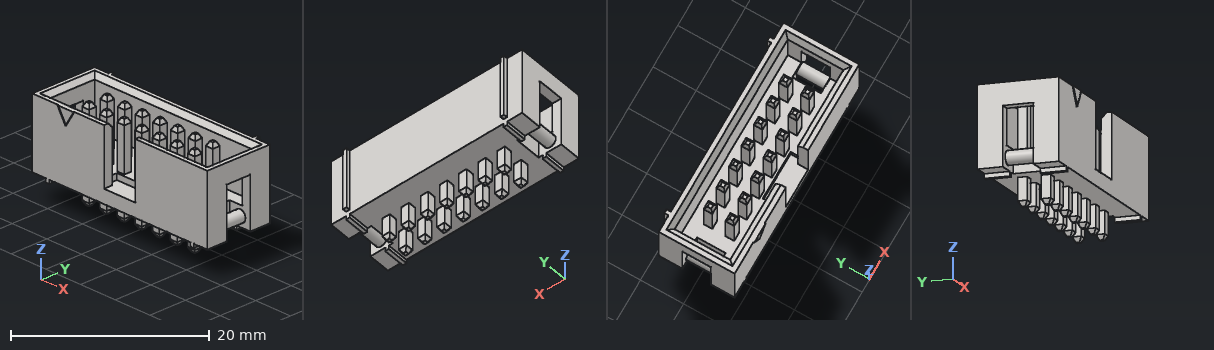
import cadquery as cq


length = 25.28
width = 8.82
height = 8.82
wall = 1.2
floor_depth = 6.32
lead_in = 0.6

notch_width = 4.5
notch_depth = 7.1
recess_width = 5.59
recess_reach = 2.35

slot_width = 3.3
slot_length = 2.98
slot_top_depth = 2.45
bar_radius = 0.75
bar_inset = 1.47
bar_depth = 7.55

rib_size = 0.48
rib_inset = 2.22
back_rib_depth = 8.22
marker_width = 2.33
marker_height = 1.92
marker_relief = 0.1
marker_x = -7.7

columns = 7
rows = 2
column_span = 15.25
pitch = column_span / (columns - 1)
pin_size = 1.0
pin_tip_size = 0.43
pin_tip_length = 0.53
pin_top_depth = 0.3
pin_below = 2.98

front_y = -width / 2
back_y = width / 2
floor_z = height - floor_depth


def block(x_size, y_min, y_max, z_min, z_max, x_center=0):
    """Box centred on x_center, spanning the given Y and Z ranges."""
    box = cq.Workplane("XY").box(x_size, y_max - y_min, z_max - z_min, centered=(True, False, False))
    return box.translate((x_center, y_min, z_min))


def frustum(base_size, end_size, base_z, rise):
    """Rectangular taper starting at base_z, going up or down by rise."""
    base = cq.Workplane("XY").workplane(offset=base_z).rect(*base_size)
    return base.workplane(offset=rise).rect(*end_size).loft()


def make_housing():
    cavity_length = length - 2 * wall
    cavity_width = width - 2 * wall
    body = block(length, front_y, back_y, 0, height)
    body = body.cut(block(cavity_length, -cavity_width / 2, cavity_width / 2, floor_z, height))
    rim_opening = (cavity_length + 2 * lead_in, cavity_width + 2 * lead_in)
    return body.cut(frustum(rim_opening, (cavity_length, cavity_width), height, -lead_in))


def cut_key_notch(body):
    notch_z = height - notch_depth
    notch = block(notch_width, front_y, front_y + wall, notch_z, height)
    recess = block(recess_width, front_y + wall, front_y + recess_reach, notch_z, floor_z)
    return body.cut(notch).cut(recess)


def add_bottom_and_back_ribs(body):
    for side in (-1, 1):
        rib_x = side * (length / 2 - rib_inset)
        body = body.union(block(rib_size, front_y, back_y, -rib_size, 0, rib_x))
        body = body.union(block(rib_size, back_y, back_y + rib_size, height - back_rib_depth, height, rib_x))
    return body


def cut_end_slots(body):
    for side in (-1, 1):
        slot_x = side * (length - slot_length) / 2
        slot_z = height - slot_top_depth
        body = body.cut(block(slot_length, -slot_width / 2, slot_width / 2, -rib_size, slot_z, slot_x))
    return body


def add_slot_bars(body):
    for side in (-1, 1):
        bar = cq.Workplane("XZ").circle(bar_radius).extrude(slot_width / 2, both=True)
        body = body.union(bar.translate((side * (length / 2 - bar_inset), 0, height - bar_depth)))
    return body


def add_pin_one_marker(body):
    half = marker_width / 2
    corners = [
        (marker_x - half, height),
        (marker_x + half, height),
        (marker_x, height - marker_height),
    ]
    marker = cq.Workplane("XZ", origin=(0, front_y, 0)).polyline(corners).close().extrude(marker_relief)
    return body.union(marker)


def make_pin():
    top_shoulder = height - pin_top_depth - pin_tip_length
    bottom_shoulder = pin_tip_length - pin_below
    shank_section = (pin_size, pin_size)
    tip_section = (pin_tip_size, pin_tip_size)
    shank = block(pin_size, -pin_size / 2, pin_size / 2, bottom_shoulder, top_shoulder)
    shank = shank.union(frustum(shank_section, tip_section, top_shoulder, pin_tip_length))
    return shank.union(frustum(shank_section, tip_section, bottom_shoulder, -pin_tip_length))


def add_pins(body):
    pin = make_pin()
    for column in range(columns):
        for row in range(rows):
            x = (column - (columns - 1) / 2) * pitch
            y = (row - (rows - 1) / 2) * pitch
            body = body.union(pin.translate((x, y, 0)))
    return body


header = make_housing()
header = cut_key_notch(header)
header = add_bottom_and_back_ribs(header)
header = cut_end_slots(header)
header = add_slot_bars(header)
header = add_pin_one_marker(header)
result = add_pins(header)